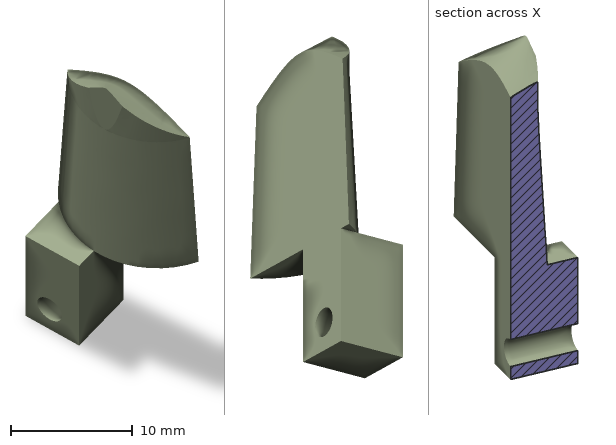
import cadquery as cq
import math

total_height = 29.8
shank_height = 10.02
shank_width = 5.49
shank_depth = 6.17
shank_left = -6.0
hole_diameter = 2.5
hole_x = -3.52
hole_z = 2.5

shoulder_z = 24.95
base_width = 14.28
shoulder_half_width = 6.23
axis_y = 4.02
point_slope = 0.70

base_radius = math.hypot(base_width / 2, axis_y)
shoulder_radius = math.hypot(shoulder_half_width, axis_y)
taper = (base_radius - shoulder_radius) / (shoulder_z - shank_height)
top_radius = shoulder_radius - taper * (total_height - shoulder_z)

apex_y = axis_y - shoulder_radius
apex_z = total_height + point_slope * (shoulder_radius - top_radius)


def shank():
    """Rectangular shank with a pin hole running front to back."""
    block = cq.Workplane("XY").box(shank_width, shank_depth, shank_height, centered=False)
    block = block.translate((shank_left, -shank_depth, 0))
    pin_hole = (
        cq.Workplane("XZ")
        .center(hole_x, hole_z)
        .circle(hole_diameter / 2)
        .extrude(shank_depth)
    )
    return block.cut(pin_hole)


def round_body():
    """Tapered round body carrying an upright cylindrical tip."""
    profile = [
        (0, shank_height),
        (base_radius, shank_height),
        (shoulder_radius, shoulder_z),
        (shoulder_radius, total_height),
        (0, total_height),
    ]
    body = cq.Workplane("XZ").polyline(profile).close().revolve(360, (0, 0), (0, 1))
    return body.translate((0, axis_y, 0))


def front_and_back_limits():
    """Slab between the flat back and a sloped front that continues the taper line."""
    section = [
        (0, shank_height),
        (axis_y - base_radius, shank_height),
        (axis_y - top_radius, total_height),
        (0, total_height),
    ]
    return cq.Workplane("YZ").polyline(section).close().extrude(base_radius, both=True)


def point_cone():
    """Cone, wide enough to cover the body, that shapes the pointed top."""
    return (
        cq.Workplane("XZ")
        .polyline([(0, 0), (apex_z / point_slope, 0), (0, apex_z)])
        .close()
        .revolve(360, (0, 0), (0, 1))
        .translate((0, apex_y, 0))
    )


blade = round_body().intersect(front_and_back_limits()).intersect(point_cone())
result = shank().union(blade)